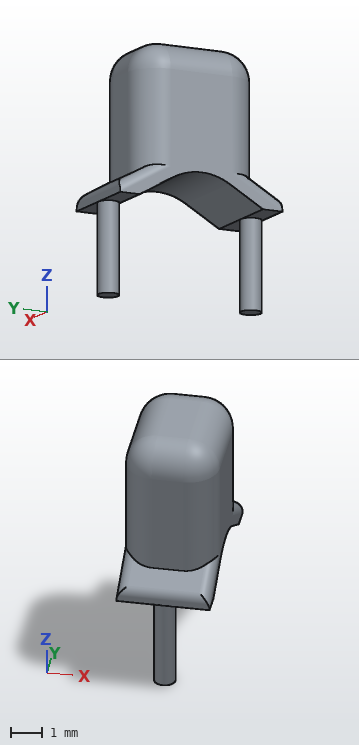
import cadquery as cq
import math

width = 3.0
saddle_length = 5.78
total_height = 8.2
pin_diameter = 0.7
pin_length = 3.0

body_length = 4.2
body_radius = 1.0

slope = math.radians(30)
saddle_radius = 0.35
arch_radius = 2.0

saddle_end = saddle_length / 2
foot_inner = saddle_end - pin_diameter
pin_offset = saddle_end - pin_diameter / 2
underside_peak = pin_length + foot_inner * math.tan(slope)
end_height = pin_length + saddle_radius / math.cos(slope)
saddle_peak = end_height + saddle_end * math.tan(slope)


def make_saddle():
    """Roof-shaped block with its upper outer edges rounded."""
    half = (
        cq.Workplane("YZ")
        .polyline([
            (0, 0),
            (-saddle_end, 0),
            (-saddle_end, end_height),
            (0, saddle_peak),
        ])
        .close()
        .extrude(width / 2, both=True)
    )
    half = half.faces(">Z").edges("not >Y").fillet(saddle_radius)
    below_feet = cq.Workplane("XY").rect(width, saddle_length).extrude(pin_length)
    return half.union(half.mirror("XZ")).cut(below_feet)


def make_body():
    """Upright block with rounded vertical and top edges."""
    body = (
        cq.Workplane("XY")
        .workplane(offset=pin_length)
        .rect(width, body_length)
        .extrude(total_height - pin_length)
    )
    return body.edges("|Z or >Z").fillet(body_radius)


def make_arch():
    """Space below the saddle, with a rounded crown."""
    arch = (
        cq.Workplane("YZ")
        .polyline([(-foot_inner, pin_length), (foot_inner, pin_length), (0, underside_peak)])
        .close()
        .extrude(width / 2, both=True)
    )
    return arch.edges("|X and >Z").fillet(arch_radius)


def make_pins():
    """Two round leads below the feet of the saddle."""
    return (
        cq.Workplane("XY")
        .pushPoints([(0, -pin_offset), (0, pin_offset)])
        .circle(pin_diameter / 2)
        .extrude(pin_length)
    )


result = make_saddle().union(make_body()).cut(make_arch()).union(make_pins())